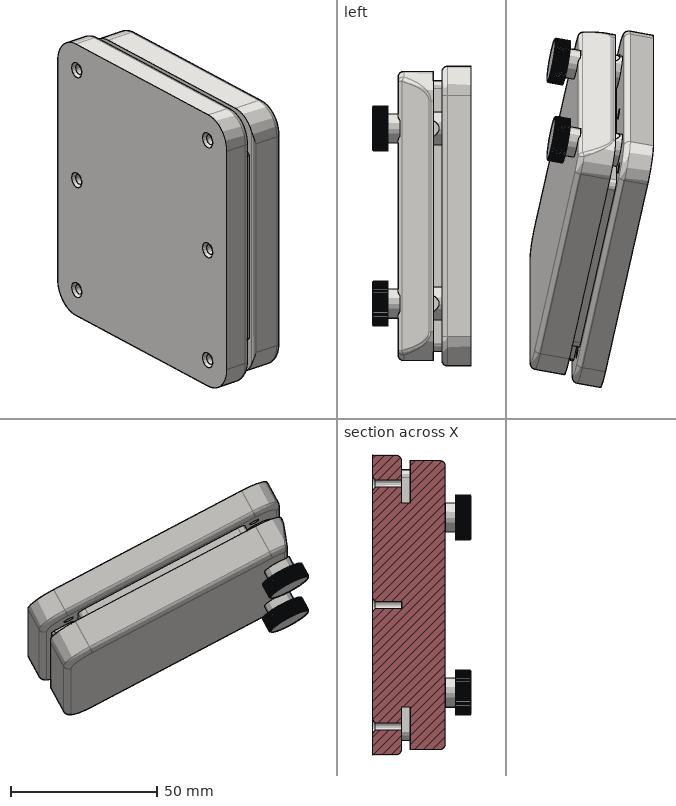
import cadquery as cq
import math

total_depth = 33.8
base_width = 93.0
base_height = 102.5
base_thickness = 10.0
cover_width = 90.0
cover_height = 98.9
cover_thickness = 12.1
gap = 2.9
corner_radius = 10.0
edge_radius = 1.9

cover_front = base_thickness + gap
cover_back = cover_front + cover_thickness

bevel_angle = 20.0
bevel_land = 1.2
bevel_slope = math.tan(math.radians(bevel_angle))
cover_toe_radius = 1.0

block_width = 64.7
block_height = 92.7
block_corner_radius = 2.7
rail_width = 8.6
rail_x = 38.4
rail_chamfer = 1.1
collar_diameter = 11.3
collar_facet_height = 1.9

screw_x = -36.9
screw_z = 29.9
shank_diameter = 10.0
shank_sink = 0.6
knob_diameter = 15.4
knob_thickness = 5.3
knob_chamfer = 0.4
knurl_depth = 0.3
knurl_count = 90

hole_diameter = 3.5
countersink_diameter = 5.4
countersink_angle = 90.0
hole_x = 36.0
hole_z = 41.5

screw_points = [(screw_x, -screw_z), (screw_x, screw_z)]
rail_length = 2 * screw_z + collar_diameter


def plane_at(y):
    """Work plane at depth y with local axes X and Z and its normal along -Y."""
    return cq.Workplane(cq.Plane(origin=(0, y, 0), xDir=(1, 0, 0), normal=(0, -1, 0)))


def slab(width, height, start, thickness, radius):
    """Rounded rectangular slab growing along +Y from the start depth."""
    return plane_at(start).rect(width, height).extrude(-thickness).edges("|Y").fillet(radius)


def pins(diameter, start, length):
    """A cylinder along +Y on each screw axis."""
    return plane_at(start).pushPoints(screw_points).circle(diameter / 2).extrude(-length)


def bevel_cutter(x, y):
    """Wedge that removes the -X side beyond a slope starting at (x, y) and leaning towards +X."""
    rise = total_depth - y
    outline = [(x, y), (x + rise * bevel_slope, total_depth), (-base_width, total_depth), (-base_width, y)]
    return cq.Workplane("XY").polyline(outline).close().extrude(base_height, both=True)


def make_base():
    plate = slab(base_width, base_height, 0, base_thickness, corner_radius)
    plate = plate.faces(">Y").edges().fillet(edge_radius)
    points = [(x, z) for x in (-hole_x, hole_x) for z in (-hole_z, 0, hole_z)]
    holes = plane_at(0).pushPoints(points)
    plate = plate.cut(holes.circle(hole_diameter / 2).extrude(-base_thickness))
    sink_radius = countersink_diameter / 2
    sink_depth = sink_radius / math.tan(math.radians(countersink_angle / 2))
    for x, z in points:
        sink = cq.Solid.makeCone(sink_radius, 0, sink_depth, cq.Vector(x, 0, z), cq.Vector(0, 1, 0))
        plate = plate.cut(cq.Workplane(sink))
    return plate


def make_cover():
    plate = slab(cover_width, cover_height, cover_front, cover_thickness, corner_radius)
    plate = plate.cut(bevel_cutter(-cover_width / 2, cover_front + bevel_land))
    return plate.edges("(not |Y) and (not <Y)").fillet(edge_radius)


def make_toe_cutter():
    """Leaves a rounded front edge along the +X side of the cover."""
    strip = cq.Workplane("XY").rect(2 * cover_toe_radius, 2 * cover_toe_radius).extrude(base_height, both=True)
    rod = cq.Workplane("XY").center(-cover_toe_radius, cover_toe_radius)
    rod = rod.circle(cover_toe_radius).extrude(base_height, both=True)
    return strip.cut(rod).translate((cover_width / 2, cover_front, 0))


def make_spacers():
    block = slab(block_width, block_height, base_thickness, gap, block_corner_radius)
    rail = plane_at(base_thickness).center(rail_x, 0).rect(rail_width, rail_length).extrude(-gap)
    rail = rail.edges("|Y").chamfer(rail_chamfer)
    collars = pins(collar_diameter, base_thickness, gap)
    facet = bevel_cutter(screw_x - collar_diameter / 2, cover_front - collar_facet_height)
    return block.union(rail).union(collars.cut(facet))


def make_knob():
    """Straight-knurled disc on the Y axis with a chamfered outer rim."""
    tips = []
    for i in range(2 * knurl_count):
        radius = knob_diameter / 2 - knurl_depth * (i % 2)
        angle = math.pi * i / knurl_count
        tips.append((radius * math.cos(angle), radius * math.sin(angle)))
    knob_start = total_depth - knob_thickness
    knurled = plane_at(knob_start).polyline(tips).close().extrude(-knob_thickness)
    envelope = plane_at(knob_start).circle(knob_diameter / 2).extrude(-knob_thickness)
    return knurled.intersect(envelope.faces(">Y").chamfer(knob_chamfer))


shank_start = cover_back - shank_sink
shank_length = total_depth - knob_thickness - shank_start
knob = make_knob()

result = make_base().union(make_spacers())
result = result.union(make_cover().cut(make_toe_cutter()))
result = result.union(pins(shank_diameter, shank_start, shank_length))
for x, z in screw_points:
    result = result.union(knob.translate((x, 0, z)))